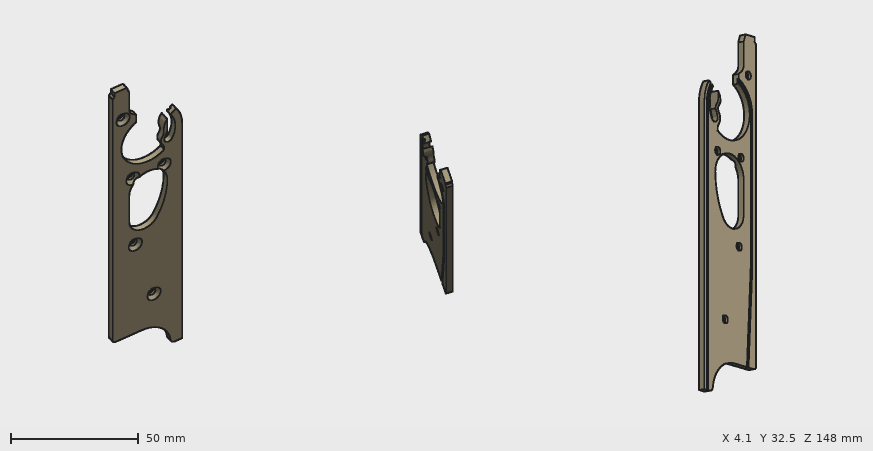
import cadquery as cq
import math


LENGTH = 148.0
WIDTH = 32.5
OVERALL_THICKNESS = 4.1
PAD_HEIGHT = 1.3
PLATE_FACE_X = PAD_HEIGHT
PLATE_THICKNESS = OVERALL_THICKNESS - PAD_HEIGHT

THROAT_Y = 16.7
THROAT_Z = 116.0
THROAT_RADIUS = 12.6
ARM_RADIUS = WIDTH - THROAT_Y
ARM_TIP_ANGLE = 35.0

TAB_Y = 7.8
TAB_BEVEL_WIDTH = 1.2
TAB_BEVEL_HEIGHT = 3.1
TAB_STEP_WIDTH = 0.9
TAB_STEP_Z = 146.1
TAB_STEP_RAMP = 1.0
HOOK_Y = 11.1
HOOK_TOP_Z = 131.1
HOOK_SLOPE_END_Z = 133.6
HOOK_FILLET = 3.7

HEEL_Z = 13.9
HEEL_FILLET = 1.3
TOE_Y = 27.2
SWEEP_RADIUS = 13.6
TOE_FILLET = 1.9

WINDOW_TOP_Z = 89.1
WINDOW_TOP_RADIUS = 8.9
WINDOW_BOTTOM_Z = 75.0
WINDOW_BOTTOM_RADIUS = 7.0

HOLE_DIAMETER = 3.3
HOLE_LAND = 1.3
COUNTERSINK_ANGLE = 45.0
HOLE_CENTERS = [(4.9, 131.7), (24.1, 97.7), (9.5, 97.7), (10.7, 61.5), (19.4, 30.6)]

GROOVE_DEPTH = 0.6
ARM_GROOVE_RADII = (13.5, 14.4)
ARM_GROOVE_END_ANGLE = 45.0
EDGE_GROOVE_RADII = (13.2, 14.4)
EDGE_GROOVE_END_ANGLE = 110.0
GROOVE_TAPER_Z = 54.5
GROOVE_TAPER_SHIFT = 2.4

SLOT_END_RADIUS = 1.9
SLOT_ANGLE = -28.0
BULGE_RADIUS = 3.5
FINGER_BACK_Y = 25.6
FINGER_FRONT_Y = 24.0
FINGER_TIP_Z = 121.5
FINGER_ROOT_Y = 24.1
FINGER_ANCHOR_Y = 28.1
FINGER_ANCHOR_Z = 105.1
PAD_RAMP_TOP_Z = 118.1
PAD_RAMP_BOTTOM_Z = 114.5


def polar(center, radius, angle):
    """Point at an angle in degrees, measured from +Y toward +Z."""
    turn = math.radians(angle)
    return (center[0] + radius * math.cos(turn), center[1] + radius * math.sin(turn))


def arc(sketch, center, radius, start, end):
    """Add an arc from the sketch's current point, which lies at the start angle."""
    middle = polar(center, radius, (start + end) / 2)
    return sketch.threePointArc(middle, polar(center, radius, end))


def sketch_at(x):
    return cq.Workplane("YZ", origin=(x, 0, 0))


THROAT_CENTER = (THROAT_Y, THROAT_Z)
SLOT_CENTER = polar(THROAT_CENTER, THROAT_RADIUS - SLOT_END_RADIUS, SLOT_ANGLE)


def make_body():
    """Plate outline with the tab, hook, arm and swept lower end."""
    sweep_center = (TOE_Y - SWEEP_RADIUS, HEEL_Z - SWEEP_RADIUS)
    toe_angle = math.degrees(math.asin(-sweep_center[1] / SWEEP_RADIUS))
    outline = (
        sketch_at(PLATE_FACE_X)
        .moveTo(0, HEEL_Z)
        .lineTo(0, TAB_STEP_Z - TAB_STEP_RAMP)
        .lineTo(TAB_STEP_WIDTH, TAB_STEP_Z)
        .lineTo(TAB_STEP_WIDTH, LENGTH)
        .lineTo(TAB_Y - TAB_BEVEL_WIDTH, LENGTH)
        .lineTo(TAB_Y, LENGTH - TAB_BEVEL_HEIGHT)
        .lineTo(TAB_Y, HOOK_SLOPE_END_Z)
        .lineTo(HOOK_Y, HOOK_TOP_Z)
        .lineTo(HOOK_Y, THROAT_Z)
        .lineTo(*THROAT_CENTER)
        .lineTo(*polar(THROAT_CENTER, ARM_RADIUS, ARM_TIP_ANGLE))
    )
    outline = arc(outline, THROAT_CENTER, ARM_RADIUS, ARM_TIP_ANGLE, 0)
    outline = outline.lineTo(WIDTH, 0).lineTo(*polar(sweep_center, SWEEP_RADIUS, toe_angle))
    outline = arc(outline, sweep_center, SWEEP_RADIUS, toe_angle, 90)
    body = outline.close().extrude(PLATE_THICKNESS)

    toe_corner_y = polar(sweep_center, SWEEP_RADIUS, toe_angle)[0]
    corners = [
        (0, HEEL_Z, HEEL_FILLET),
        (toe_corner_y, 0, TOE_FILLET),
        (TAB_Y, HOOK_SLOPE_END_Z, HOOK_FILLET),
    ]
    for y, z, radius in corners:
        corner_edge = cq.selectors.NearestToPointSelector((PLATE_FACE_X + PLATE_THICKNESS / 2, y, z))
        body = body.edges("|X").edges(corner_edge).fillet(radius)

    throat = sketch_at(PLATE_FACE_X).center(*THROAT_CENTER).circle(THROAT_RADIUS)
    return body.cut(throat.extrude(PLATE_THICKNESS))


def make_finger():
    """Finger blank, as tall along X as the pad and the plate together."""
    root_top = (FINGER_ROOT_Y, 107.2)
    notch_middle = (23.8, 108.0)
    bulge_start = 222.0
    bulge_end = 150.0
    front_hollow_middle = (23.7, 114.0)
    front_low = (FINGER_FRONT_Y, 115.5)
    front_round_middle = (24.1, 118.4)
    front_high = (24.5, 120.0)
    back_low = (FINGER_BACK_Y, PAD_RAMP_BOTTOM_Z)
    back_bend = (25.0, 113.7)
    slot_start = 150.0

    outline = (
        sketch_at(0)
        .moveTo(FINGER_ROOT_Y, FINGER_ANCHOR_Z)
        .lineTo(*root_top)
        .threePointArc(notch_middle, polar(SLOT_CENTER, BULGE_RADIUS, bulge_start))
    )
    outline = arc(outline, SLOT_CENTER, BULGE_RADIUS, bulge_start, bulge_end)
    outline = (
        outline.threePointArc(front_hollow_middle, front_low)
        .threePointArc(front_round_middle, front_high)
        .lineTo(FINGER_BACK_Y, FINGER_TIP_Z)
        .lineTo(*back_low)
        .lineTo(*back_bend)
        .lineTo(*polar(SLOT_CENTER, SLOT_END_RADIUS, slot_start))
    )
    outline = arc(outline, SLOT_CENTER, SLOT_END_RADIUS, slot_start, 360 + SLOT_ANGLE)
    outline = outline.lineTo(FINGER_ANCHOR_Y, FINGER_ANCHOR_Z).close()
    return outline.extrude(OVERALL_THICKNESS)


def make_pad_relief():
    """Space in front of the plate below the pad, bounded by the pad's S-shaped ramp."""
    ramp_half = (PAD_RAMP_TOP_Z - PAD_RAMP_BOTTOM_Z) / 2
    ramp_middle = (PAD_HEIGHT / 2, PAD_RAMP_BOTTOM_Z + ramp_half)
    profile = (
        cq.Workplane("XZ")
        .moveTo(0, 0)
        .lineTo(PLATE_FACE_X, 0)
        .lineTo(PLATE_FACE_X, PAD_RAMP_BOTTOM_Z)
        .tangentArcPoint(ramp_middle, relative=False)
        .tangentArcPoint((0, PAD_RAMP_TOP_Z), relative=False)
        .close()
    )
    return profile.extrude(-WIDTH)


def make_window():
    """Egg-shaped opening: two round ends, a straight side and a long curved side."""
    straight_y = THROAT_Y - WINDOW_TOP_RADIUS
    top_center = (THROAT_Y, WINDOW_TOP_Z)
    bottom_center = (straight_y + WINDOW_BOTTOM_RADIUS, WINDOW_BOTTOM_Z)

    far_y = THROAT_Y + WINDOW_TOP_RADIUS
    reach = far_y - bottom_center[0]
    drop = WINDOW_TOP_Z - WINDOW_BOTTOM_Z
    side_radius = (reach**2 + drop**2 - WINDOW_BOTTOM_RADIUS**2) / (2 * (reach - WINDOW_BOTTOM_RADIUS))
    side_center = (far_y - side_radius, WINDOW_TOP_Z)
    side_angle = -math.degrees(math.atan2(drop, bottom_center[0] - side_center[0]))

    outline = sketch_at(PLATE_FACE_X).moveTo(straight_y, WINDOW_BOTTOM_Z).lineTo(straight_y, WINDOW_TOP_Z)
    outline = arc(outline, top_center, WINDOW_TOP_RADIUS, 180, 0)
    outline = arc(outline, side_center, side_radius, 0, side_angle)
    outline = arc(outline, bottom_center, WINDOW_BOTTOM_RADIUS, side_angle, -180)
    return outline.close().extrude(PLATE_THICKNESS)


def make_holes():
    """Through holes, each opening into a countersink on the +X face."""
    radius = HOLE_DIAMETER / 2
    holes = sketch_at(PLATE_FACE_X).pushPoints(HOLE_CENTERS).circle(radius).extrude(PLATE_THICKNESS)
    sinks = (
        sketch_at(PLATE_FACE_X + HOLE_LAND)
        .pushPoints(HOLE_CENTERS)
        .circle(radius)
        .extrude(PLATE_THICKNESS - HOLE_LAND, taper=-COUNTERSINK_ANGLE)
    )
    return holes.union(sinks)


def make_arm_groove():
    """Groove along the +Y edge that bends around the arm to its tip."""
    inner, outer = ARM_GROOVE_RADII
    outline = sketch_at(PLATE_FACE_X).moveTo(THROAT_Y + outer, 0).lineTo(THROAT_Y + outer, THROAT_Z)
    outline = arc(outline, THROAT_CENTER, outer, 0, ARM_GROOVE_END_ANGLE)
    outline = outline.lineTo(*polar(THROAT_CENTER, inner, ARM_GROOVE_END_ANGLE))
    outline = arc(outline, THROAT_CENTER, inner, ARM_GROOVE_END_ANGLE, 0)
    return outline.lineTo(THROAT_Y + inner, 0).close().extrude(GROOVE_DEPTH)


def make_edge_groove():
    """Groove near the Y = 0 edge: around the throat, straight down, then leaning inward."""
    inner, outer = EDGE_GROOVE_RADII
    inner_y = THROAT_Y - inner
    outer_y = THROAT_Y - outer
    outline = (
        sketch_at(PLATE_FACE_X)
        .moveTo(outer_y + GROOVE_TAPER_SHIFT, HEEL_Z)
        .lineTo(outer_y, GROOVE_TAPER_Z)
        .lineTo(outer_y, THROAT_Z)
    )
    outline = arc(outline, THROAT_CENTER, outer, 180, EDGE_GROOVE_END_ANGLE)
    outline = outline.lineTo(*polar(THROAT_CENTER, inner, EDGE_GROOVE_END_ANGLE))
    outline = arc(outline, THROAT_CENTER, inner, EDGE_GROOVE_END_ANGLE, 180)
    outline = outline.lineTo(inner_y, GROOVE_TAPER_Z).lineTo(inner_y + GROOVE_TAPER_SHIFT, HEEL_Z)
    return outline.close().extrude(GROOVE_DEPTH)


result = make_body().union(make_finger()).cut(make_pad_relief())
for cutter in (make_window(), make_holes(), make_arm_groove(), make_edge_groove()):
    result = result.cut(cutter)